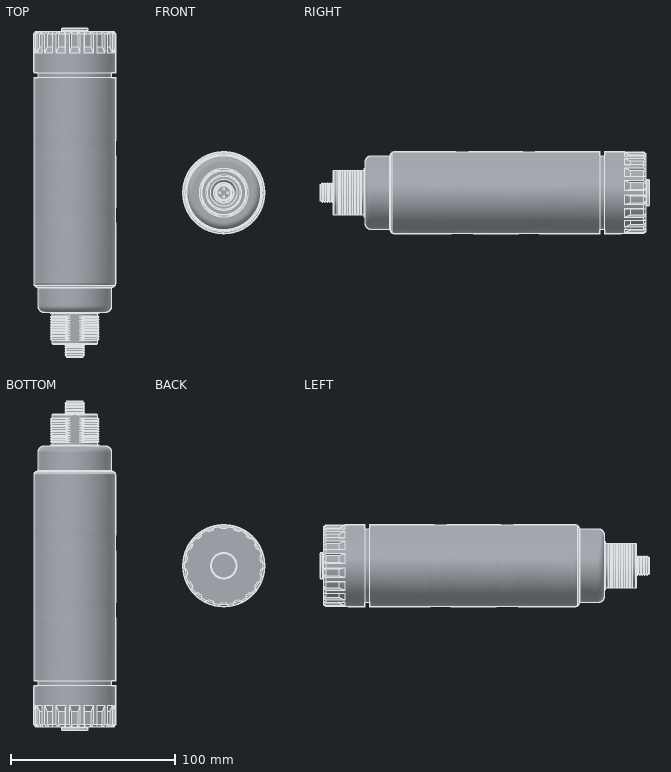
import cadquery as cq
import math


overall_length = 200.7
body_radius = 25.0
nose_radius = 22.5
nose_front = 27.4
nose_fillet = 4.0
shoulder_front = 43.0
shoulder_root_bevel = 0.6
shoulder_face_radius = 23.8
shoulder_bevel_length = 1.0
shoulder_bevel_radius = 24.7
shoulder_taper_length = 1.1
neck_groove_radius = nose_radius
neck_groove_front = 170.4
neck_groove_back = 173.3

waist_depth = 0.1
waist_spans = [(79.6, 93.6), (120.7, 134.0)]

cap_back = 198.6
cap_edge_length = 1.6
cap_edge_depth = 1.2
button_radius = 8.0
button_edge = 0.5
slot_count = 18
slot_depth = 1.4
slot_floor_width = 4.3
slot_mouth_width = 6.4
slot_front = 185.4
slot_floor_front = 189.0
slot_edge_depth = 1.0

collar_front = 8.1
collar_thread_radius = 14.85
collar_root_radius = 13.95
collar_edge = 0.6
collar_thread_front = 9.8
collar_thread_back = 26.1
collar_flat_height = 13.65
collar_base_radius = collar_thread_radius
collar_base_length = 0.6
collar_bore_radius = 10.0
collar_mouth_radius = 10.8
collar_mouth_depth = 0.5
bore_cone_radius = 8.2
bore_step_depth = 4.0
bore_depth = 14.0
bore_floor_radius = 6.2

plug_thread_radius = 5.9
plug_root_radius = 5.1
plug_edge = 0.4
plug_bore_radius = 4.2
plug_bore_edge = 0.6
plug_bore_depth = 7.0
pin_count = 4
pin_radius = 0.5
pin_circle_radius = 2.45
pin_recess = 0.5

thread_pitch = 1.5
overlap = 1.0


def revolve(outline):
    return outline.close().revolve(360, (0, 0, 0), (0, 1, 0))


def lathe(points):
    """Revolve a closed (radius, station) outline about the Y axis."""
    return revolve(cq.Workplane("XY").polyline(points))


def rod(radius, front, back):
    return lathe([(0, front), (radius, front), (radius, back), (0, back)])


def housing():
    bevel_back = shoulder_front + shoulder_bevel_length
    outline = (
        cq.Workplane("XY")
        .moveTo(0, nose_front)
        .lineTo(nose_radius - nose_fillet, nose_front)
        .radiusArc((nose_radius, nose_front + nose_fillet), -nose_fillet)
        .lineTo(nose_radius, shoulder_front - shoulder_root_bevel)
        .lineTo(nose_radius + shoulder_root_bevel, shoulder_front)
        .lineTo(shoulder_face_radius, shoulder_front)
        .lineTo(shoulder_bevel_radius, bevel_back)
        .lineTo(body_radius, bevel_back + shoulder_taper_length)
    )
    for front, back in waist_spans:
        outline = outline.lineTo(body_radius, front).threePointArc(
            (body_radius - waist_depth, (front + back) / 2), (body_radius, back)
        )
    outline = (
        outline.lineTo(body_radius, neck_groove_front)
        .lineTo(neck_groove_radius, neck_groove_front)
        .lineTo(neck_groove_radius, neck_groove_back)
        .lineTo(body_radius, neck_groove_back)
        .lineTo(body_radius, cap_back - cap_edge_length)
        .lineTo(body_radius - cap_edge_depth, cap_back)
        .lineTo(0, cap_back)
    )
    return revolve(outline)


def end_button():
    tip_radius = button_radius - button_edge
    return lathe([
        (0, cap_back - overlap),
        (tip_radius, cap_back - overlap),
        (tip_radius, cap_back),
        (button_radius, cap_back + button_edge),
        (button_radius, overall_length - button_edge),
        (tip_radius, overall_length),
        (0, overall_length),
    ])


def slot_ring():
    """Ring that fills every slot: cylindrical floor, conical front ramp, bevelled back edge."""
    floor = body_radius - slot_depth
    top = body_radius + overlap
    ramp_slope = (slot_floor_front - slot_front) / slot_depth
    return lathe([
        (floor, slot_floor_front),
        (floor, cap_back - cap_edge_length),
        (floor - slot_edge_depth, cap_back),
        (floor - slot_edge_depth, overall_length),
        (top, overall_length),
        (top, slot_front - ramp_slope * overlap),
    ])


def slot_wedge():
    """Straight channel on the +Z side whose flared flanks bound one slot."""
    side_slope = (slot_mouth_width - slot_floor_width) / 2 / slot_depth
    bottom = body_radius - slot_depth - slot_edge_depth - overlap
    top = body_radius + overlap
    bottom_half_width = slot_floor_width / 2 - side_slope * (slot_edge_depth + overlap)
    top_half_width = slot_mouth_width / 2 + side_slope * overlap
    return (
        cq.Workplane("XZ")
        .polyline([
            (-bottom_half_width, bottom),
            (bottom_half_width, bottom),
            (top_half_width, top),
            (-top_half_width, top),
        ])
        .close()
        .extrude(-overall_length)
    )


def cap_slots():
    slot = slot_wedge().intersect(slot_ring())
    tools = cq.Workplane("XY")
    for index in range(slot_count):
        angle = index * 360 / slot_count
        tools = tools.add(slot.rotate((0, 0, 0), (0, 1, 0), angle).vals())
    return tools.combine()


def thread_ridges(root_radius, crest_radius, front, back):
    """Core with V-shaped ridges, one per thread pitch, centred between the two stations."""
    count = math.floor((back - front) / thread_pitch)
    start = (front + back - count * thread_pitch) / 2
    points = [(0, start), (root_radius, start)]
    for index in range(count):
        ridge = start + index * thread_pitch
        points.append((crest_radius, ridge + thread_pitch / 2))
        points.append((root_radius, ridge + thread_pitch))
    points.append((0, start + count * thread_pitch))
    return lathe(points)


def collar():
    core = rod(collar_root_radius, collar_front, nose_front + overlap).faces("<Y").chamfer(collar_edge)
    ridges = thread_ridges(
        collar_root_radius, collar_thread_radius, collar_thread_front, collar_thread_back
    )
    length = nose_front + overlap
    flats = cq.Workplane("XY").box(
        2 * body_radius, length, 2 * collar_flat_height, centered=(True, False, True)
    )
    base = rod(collar_base_radius, nose_front - collar_base_length, length)
    return core.union(ridges).intersect(flats).union(base)


def collar_bore():
    step = collar_front + bore_step_depth
    floor = collar_front + bore_depth
    return lathe([
        (0, 0),
        (collar_mouth_radius, 0),
        (collar_mouth_radius, collar_front),
        (collar_bore_radius, collar_front + collar_mouth_depth),
        (collar_bore_radius, step),
        (bore_cone_radius, step),
        (bore_floor_radius, floor),
        (0, floor),
    ])


def plug():
    back = collar_front + bore_depth + overlap
    core = rod(plug_root_radius, 0, back)
    ridges = thread_ridges(plug_root_radius, plug_thread_radius, plug_edge, collar_front + bore_depth)
    bore = lathe([
        (0, 0),
        (plug_bore_radius + plug_bore_edge, 0),
        (plug_bore_radius, plug_bore_edge),
        (plug_bore_radius, plug_bore_depth),
        (0, plug_bore_depth),
    ])
    body = core.union(ridges).cut(bore)
    for index in range(pin_count):
        angle = index * 2 * math.pi / pin_count
        pin = rod(pin_radius, pin_recess, plug_bore_depth + overlap).translate(
            (pin_circle_radius * math.cos(angle), 0, pin_circle_radius * math.sin(angle))
        )
        body = body.union(pin)
    return body


shell = housing().cut(cap_slots()).union(end_button())
result = shell.union(collar()).cut(collar_bore()).union(plug())